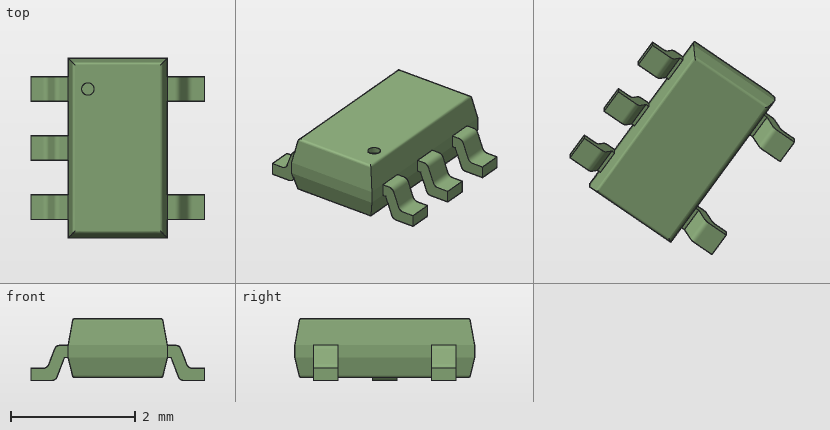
import cadquery as cq
import math

length = 2.9
width = 1.6
height = 1.0
standoff = 0.05
draft_inset = 0.078
edge_radius = 0.04

mark_diameter = 0.2
mark_depth = 0.1
mark_x = -0.48

lead_span = 2.8
lead_pitch = 0.95
lead_width = 0.4
lead_thickness = 0.2
lead_top = 0.57
lead_slant = math.radians(21)
foot_length = 0.265
bend_radius = 0.1

lead_bottom = lead_top - lead_thickness
LEFT = -1
RIGHT = 1
lead_places = [
    (LEFT, -lead_pitch),
    (LEFT, 0),
    (LEFT, lead_pitch),
    (RIGHT, -lead_pitch),
    (RIGHT, lead_pitch),
]


def tapered_half(start_z, end_z):
    """Part of the housing that narrows from the middle band to an end face."""
    return (
        cq.Workplane("XY", origin=(0, 0, start_z))
        .rect(width, length)
        .workplane(offset=end_z - start_z)
        .rect(width - 2 * draft_inset, length - 2 * draft_inset)
        .loft(ruled=True)
    )


def make_housing():
    band = (
        cq.Workplane("XY", origin=(0, 0, lead_bottom))
        .rect(width, length)
        .extrude(lead_thickness)
    )
    upper = tapered_half(lead_top, height)
    lower = tapered_half(lead_bottom, standoff)
    body = band.union(upper).union(lower)
    body = body.faces(">Z or <Z").edges().fillet(edge_radius)
    mark = (
        cq.Workplane("XY", origin=(mark_x, lead_pitch, height - mark_depth))
        .circle(mark_diameter / 2)
        .extrude(mark_depth)
    )
    return body.cut(mark)


def make_lead(side, y):
    """Gull-wing lead, from the housing side out to the foot tip."""
    tip = lead_span / 2
    root = width / 2
    rise_run = lead_bottom * math.tan(lead_slant)
    leg_run = lead_thickness / math.cos(lead_slant)
    foot_bend = tip - foot_length
    shoulder_bend = foot_bend - rise_run
    under_foot_bend = foot_bend + lead_thickness * math.tan(lead_slant) - leg_run
    under_shoulder_bend = under_foot_bend - rise_run
    outline = [
        (root, lead_top),
        (shoulder_bend, lead_top),
        (foot_bend, lead_thickness),
        (tip, lead_thickness),
        (tip, 0),
        (under_foot_bend, 0),
        (under_shoulder_bend, lead_bottom),
        (root, lead_bottom),
    ]
    rounded_bends = [
        (shoulder_bend, lead_top),
        (foot_bend, lead_thickness),
        (under_foot_bend, 0),
    ]
    lead = (
        cq.Workplane("XZ", origin=(0, y + lead_width / 2, 0))
        .polyline([(side * x, z) for x, z in outline])
        .close()
        .extrude(lead_width)
    )
    for x, z in rounded_bends:
        bend_edge = cq.selectors.NearestToPointSelector((side * x, y, z))
        lead = lead.edges("|Y").edges(bend_edge).fillet(bend_radius)
    return lead


housing = make_housing()
leads = [make_lead(side, y) for side, y in lead_places]

result = cq.Compound.makeCompound([housing.val(), *[lead.val() for lead in leads]])